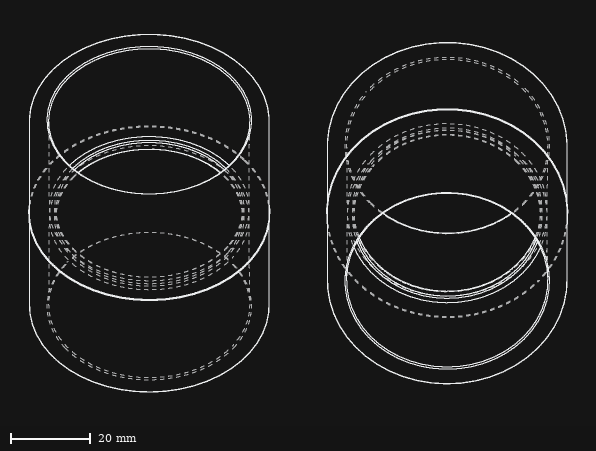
import cadquery as cq
LENGTH = 67.2
BODY_DIAMETER = 60.0
RIDGE_DIAMETER = 60.35
RIDGE_WIDTH = 0.2
RIM_FILLET = 0.4

SOCKET_MOUTH_DIAMETER = 50.3
SOCKET_ROOT_DIAMETER = 50.0
SOCKET_DEPTH = 32.0
MOUTH_CHAMFER = 0.4

BORE_DIAMETER = 46.65
BORE_CHAMFER = 0.4

HALF_LENGTH = LENGTH / 2


def centred_cylinder(diameter, height):
    """Cylinder on the Z axis, centred on mid length."""
    return cq.Workplane("XY").workplane(offset=-height / 2).circle(diameter / 2).extrude(height)


def make_body():
    """Solid outer cylinder with rounded end edges and the parting ridge."""
    cylinder = centred_cylinder(BODY_DIAMETER, LENGTH)
    cylinder = cylinder.faces("<Z or >Z").edges().fillet(RIM_FILLET)
    return cylinder.union(centred_cylinder(RIDGE_DIAMETER, RIDGE_WIDTH))


def make_socket():
    """Space of the upper socket: bore bevel, flat shoulder, tapered wall and lead-in."""
    shoulder_z = HALF_LENGTH - SOCKET_DEPTH
    bore_radius = BORE_DIAMETER / 2
    root_radius = SOCKET_ROOT_DIAMETER / 2
    mouth_radius = SOCKET_MOUTH_DIAMETER / 2
    profile = (
        cq.Workplane("XZ")
        .moveTo(0, shoulder_z - BORE_CHAMFER)
        .lineTo(bore_radius, shoulder_z - BORE_CHAMFER)
        .lineTo(bore_radius + BORE_CHAMFER, shoulder_z)
        .lineTo(root_radius, shoulder_z)
        .lineTo(mouth_radius, HALF_LENGTH - MOUTH_CHAMFER)
        .lineTo(mouth_radius + MOUTH_CHAMFER, HALF_LENGTH)
        .lineTo(0, HALF_LENGTH)
        .close()
    )
    return profile.revolve(360, (0, 0, 0), (0, 1, 0))


bore = centred_cylinder(BORE_DIAMETER, LENGTH)
upper_socket = make_socket()
lower_socket = upper_socket.mirror("XY")
result = make_body().cut(bore).cut(upper_socket).cut(lower_socket)